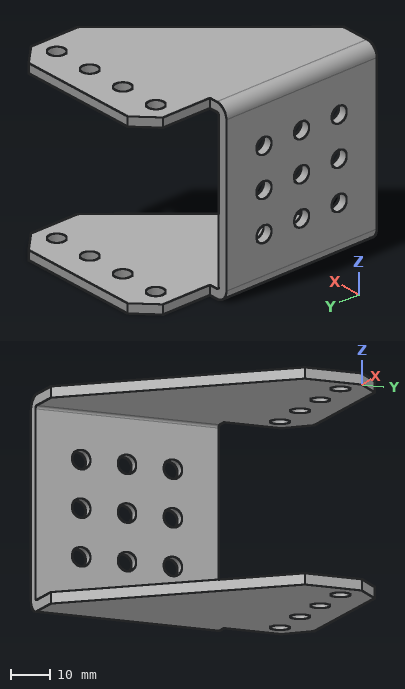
import cadquery as cq

pitch = 12.7
length = 73.0
thickness = 3.0
inner_bend_radius = 0.7
hole_diameter = 5.05

width = 4.5 * pitch
web_length = 4 * pitch
height = 4 * pitch + 2 * thickness
outer_bend_radius = inner_bend_radius + thickness
corner_cut = pitch / 2
notch_depth = pitch / 2
flange_tip_width = pitch
flange_hole_inset = 0.75 * pitch


def bent_channel():
    """C-shaped sheet channel, open toward +X, running along Y from 0 to length."""
    outer = (
        cq.Workplane("XY")
        .box(width, length, height, centered=(False, False, True))
        .edges("|Y and <X")
        .fillet(outer_bend_radius)
    )
    inner = (
        cq.Workplane("XY")
        .box(width, length, height - 2 * thickness, centered=(False, False, True))
        .edges("|Y and <X")
        .fillet(inner_bend_radius)
        .translate((thickness, 0, 0))
    )
    return outer.cut(inner)


def flange_outline():
    """Plan outline shared by both flanges, extruded through the full height."""
    points = [
        (0, 0),
        (flange_tip_width, 0),
        (width, web_length),
        (width, length - corner_cut),
        (width - corner_cut, length),
        (notch_depth + corner_cut, length),
        (notch_depth, length - corner_cut),
        (notch_depth, web_length),
        (0, web_length),
    ]
    return (
        cq.Workplane("XY")
        .workplane(offset=-height / 2)
        .polyline(points)
        .close()
        .extrude(height)
    )


def flange_holes():
    """Row of four holes through both flanges."""
    centers = [(i * pitch, length - flange_hole_inset) for i in range(1, 5)]
    return (
        cq.Workplane("XY")
        .workplane(offset=-height / 2)
        .pushPoints(centers)
        .circle(hole_diameter / 2)
        .extrude(height)
    )


def web_holes():
    """Three by three grid of holes centred on the web."""
    return (
        cq.Workplane("YZ")
        .center(web_length / 2, 0)
        .rarray(pitch, pitch, 3, 3)
        .circle(hole_diameter / 2)
        .extrude(thickness)
    )


bracket = bent_channel().intersect(flange_outline())
result = bracket.cut(flange_holes()).cut(web_holes())